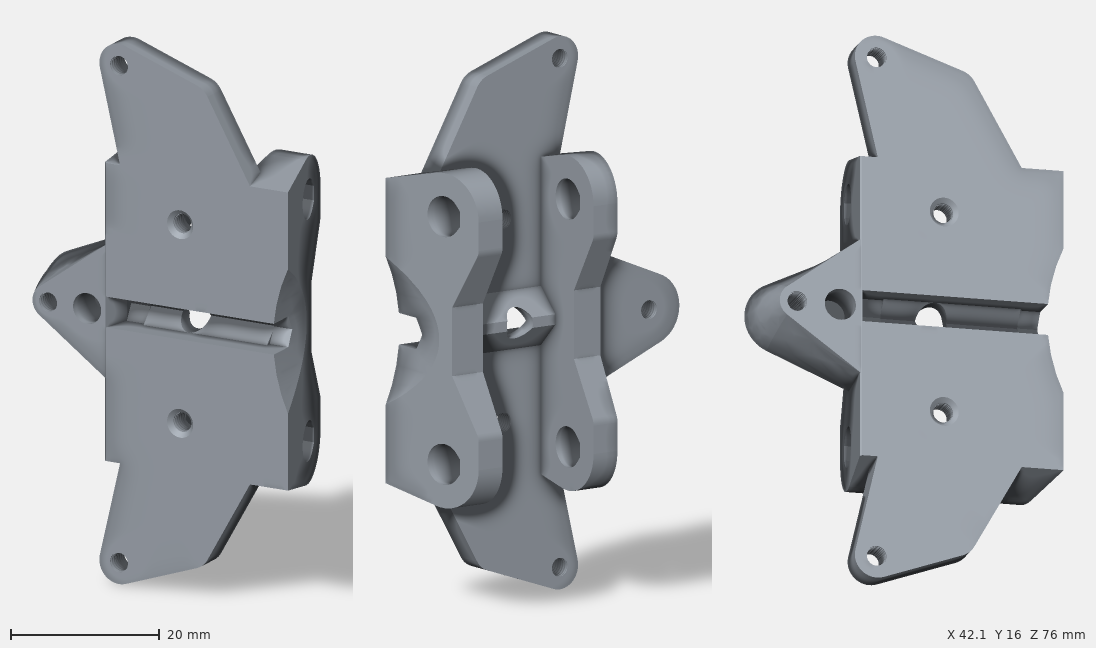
import cadquery as cq
import math


total_length = 76.0
plate_thickness = 3.8
ear_end_radius = 3.05
ear_hole_x = 2.3
ear_hole_z = total_length / 2 - ear_end_radius
ear_corner = (15.35, 33.6)
ear_corner_radius = 3.05
ear_root_left_x = 2.4
ear_root_right_x = 22.5

block_half_height = 21.0
block_length = 28.35
lug_top_y = 16.0
lug_left_lean = 1.45
lug_right_lean = 3.95
lug_radius = 6.0
lug_hole_z = 17.0
lug_hole_y = lug_top_y - lug_radius
lug_hole_diameter = 5.6
lug_hole_facet_angle = math.radians(40)
valley_y = 11.5
valley_half_height = 4.7
valley_slope = math.radians(30)
lug_corner_radius = 1.9
lug_gap_start = 5.4
lug_gap_end = 20.45
edge_chamfer = 0.265

ridge_y = 7.15
ridge_flat_half_width = 0.72

channel_width = 4.3
channel_start_low = 0.3
channel_start_high = 1.2
gable_start_x = 4.2
gable_end_x = 23.25
gable_eave_y = 3.35
gable_roof_slope = math.radians(45)
end_eave_y = 4.0
end_roof_slope = math.radians(30)
centre_hole_x = 11.25

thread_crest_diameter = 2.6
thread_root_diameter = 2.7
thread_pitch = 0.5

screw_x = 11.7
screw_z = 14.0
screw_sink_diameter = 4.0

notch_radius = 23.9
notch_bottom_x = 26.1

nose_x = -8.75
nose_front_y = 0.15
nose_back_y = 9.05
nose_front_radius = 2.4
nose_middle_radius = 3.95
nose_back_radius = 5.0
nose_root_x = 0.9
nose_front_root_half_height = 9.95
nose_back_root_half_height = 9.5
nose_pocket_x = -2.7
nose_pocket_diameter = 4.3
nose_pocket_depth = 6.1


def front_sketch(y=0.0):
    """XZ sketch at depth y; negative extrusions run towards +Y."""
    return cq.Workplane("XZ", origin=(0, y, 0))


def drill(x, z, diameter, start_y, depth):
    return front_sketch(start_y).center(x, z).circle(diameter / 2).extrude(-depth)


def threaded_hole(x, z, start_y, depth):
    """Bore with evenly spaced ring grooves, the first one open to the front."""
    hole = drill(x, z, thread_crest_diameter, start_y, depth)
    for number in range(math.ceil(depth / thread_pitch)):
        groove_y = start_y + number * thread_pitch
        hole = hole.union(drill(x, z, thread_root_diameter, groove_y, thread_pitch / 2))
    return hole


def tangent_point(outside, centre, radius, side):
    """Point where the line from `outside` touches the circle; side is +1 or -1."""
    away_x = outside[0] - centre[0]
    away_y = outside[1] - centre[1]
    angle = math.atan2(away_y, away_x) + side * math.acos(radius / math.hypot(away_x, away_y))
    return (centre[0] + radius * math.cos(angle), centre[1] + radius * math.sin(angle))


def both_sides(solid):
    return solid.union(solid.mirror("XY"))


def ear():
    centre = (ear_hole_x, ear_hole_z)
    root_left = (ear_root_left_x, block_half_height)
    left_touch = tangent_point(root_left, centre, ear_end_radius, -1)
    top_touch = tangent_point(ear_corner, centre, ear_end_radius, 1)
    round_angle = math.radians(135)
    end_middle = (
        ear_hole_x + ear_end_radius * math.cos(round_angle),
        ear_hole_z + ear_end_radius * math.sin(round_angle),
    )
    outline = (
        front_sketch()
        .moveTo(ear_root_left_x, 0)
        .lineTo(*root_left)
        .lineTo(*left_touch)
        .threePointArc(end_middle, top_touch)
        .lineTo(*ear_corner)
        .lineTo(ear_root_right_x, block_half_height)
        .lineTo(ear_root_right_x, 0)
        .close()
        .extrude(-plate_thickness)
    )
    corner = cq.selectors.NearestToPointSelector((ear_corner[0], plate_thickness / 2, ear_corner[1]))
    rounded = outline.edges(corner).fillet(ear_corner_radius)
    return rounded.cut(threaded_hole(*centre, 0, plate_thickness))


def lug_profile():
    """Upper half of the lug block seen along X, extruded beyond both ends."""
    centre = (lug_hole_y, lug_hole_z)
    bevel_touch = tangent_point((0, block_half_height), centre, lug_radius, -1)
    round_angle = math.radians(45)
    round_middle = (
        lug_hole_y + lug_radius * math.cos(round_angle),
        lug_hole_z + lug_radius * math.sin(round_angle),
    )
    slope_top_z = valley_half_height + (lug_top_y - valley_y) / math.tan(valley_slope)
    block = (
        cq.Workplane("YZ", origin=(-block_length, 0, 0))
        .moveTo(0, 0)
        .lineTo(0, block_half_height)
        .lineTo(*bevel_touch)
        .threePointArc(round_middle, (lug_top_y, lug_hole_z))
        .lineTo(lug_top_y, slope_top_z)
        .lineTo(valley_y, valley_half_height)
        .lineTo(valley_y, 0)
        .close()
        .extrude(3 * block_length)
    )
    corner = cq.selectors.NearestToPointSelector((block_length / 2, lug_top_y, slope_top_z))
    return block.edges(corner).fillet(lug_corner_radius)


def lug_bore(side):
    """Round bore whose back is a flat with two slanting facets, all touching its circle."""
    radius = lug_hole_diameter / 2
    touch_y = radius * math.cos(lug_hole_facet_angle)
    touch_z = radius * math.sin(lug_hole_facet_angle)
    flat_half_width = radius * math.tan(lug_hole_facet_angle / 2)
    return (
        cq.Workplane("YZ", origin=(0, lug_hole_y, side * lug_hole_z))
        .moveTo(touch_y, -touch_z)
        .lineTo(radius, -flat_half_width)
        .lineTo(radius, flat_half_width)
        .lineTo(touch_y, touch_z)
        .threePointArc((-radius, 0), (touch_y, -touch_z))
        .close()
        .extrude(block_length)
    )


def lug_block():
    side_limits = (
        cq.Workplane("XY", origin=(0, 0, -total_length / 2))
        .moveTo(edge_chamfer, 0)
        .lineTo(block_length, 0)
        .lineTo(block_length - lug_right_lean, lug_top_y)
        .lineTo(lug_left_lean, lug_top_y)
        .lineTo(0, edge_chamfer)
        .close()
        .extrude(total_length)
    )
    gap = cq.Workplane("XY").box(
        lug_gap_end - lug_gap_start, lug_top_y, total_length, centered=(False, False, True)
    ).translate((lug_gap_start, plate_thickness, 0))
    block = both_sides(lug_profile()).intersect(side_limits).cut(gap)
    for side in (1, -1):
        block = block.cut(lug_bore(side))
    return block


def ridge():
    """Bar with 45 degree flanks joining the lugs along the middle."""
    base_half_width = ridge_flat_half_width + ridge_y - plate_thickness
    return (
        cq.Workplane("YZ", origin=(lug_gap_start, 0, 0))
        .polyline([
            (0, -base_half_width),
            (plate_thickness, -base_half_width),
            (ridge_y, -ridge_flat_half_width),
            (ridge_y, ridge_flat_half_width),
            (plate_thickness, base_half_width),
            (0, base_half_width),
        ])
        .close()
        .extrude(lug_gap_end - lug_gap_start)
    )


def gabled_slot(start_x, end_x, eave_y, slope):
    half_width = channel_width / 2
    return (
        cq.Workplane("YZ", origin=(start_x, 0, 0))
        .polyline([
            (0, -half_width),
            (eave_y, -half_width),
            (eave_y + half_width * math.tan(slope), 0),
            (eave_y, half_width),
            (0, half_width),
        ])
        .close()
        .extrude(end_x - start_x)
    )


def channel():
    left_slot = gabled_slot(0, gable_start_x, end_eave_y, end_roof_slope)
    middle_slot = gabled_slot(gable_start_x, gable_end_x, gable_eave_y, gable_roof_slope)
    right_slot = gabled_slot(gable_end_x, block_length, end_eave_y, end_roof_slope)
    end_wall = (
        cq.Workplane("XY", origin=(0, 0, -channel_width))
        .moveTo(0, 0)
        .lineTo(channel_start_low, 0)
        .lineTo(channel_start_high, end_eave_y)
        .lineTo(channel_start_high, ridge_y)
        .lineTo(0, ridge_y)
        .close()
        .extrude(2 * channel_width)
    )
    return left_slot.cut(end_wall).union(middle_slot).union(right_slot)


def nose_section(y, radius, root_half_height):
    """Wedge from the root to a round end, as a wire at depth y."""
    root_top = (nose_root_x, root_half_height)
    touch_x, touch_z = tangent_point(root_top, (nose_x, 0), radius, 1)
    return (
        front_sketch(y)
        .moveTo(*root_top)
        .lineTo(touch_x, touch_z)
        .threePointArc((nose_x - radius, 0), (touch_x, -touch_z))
        .lineTo(nose_root_x, -root_half_height)
        .close()
        .wire()
        .val()
    )


def nose():
    middle_y = (nose_front_y + nose_back_y) / 2
    middle_root = (nose_front_root_half_height + nose_back_root_half_height) / 2
    sections = [
        nose_section(nose_front_y, nose_front_radius, nose_front_root_half_height),
        nose_section(middle_y, nose_middle_radius, middle_root),
        nose_section(nose_back_y, nose_back_radius, nose_back_root_half_height),
    ]
    return cq.Workplane(cq.Solid.makeLoft(sections))


def screw_hole(side):
    sink_depth = (screw_sink_diameter - thread_root_diameter) / 2
    sink = cq.Solid.makeCone(
        screw_sink_diameter / 2,
        thread_root_diameter / 2,
        sink_depth,
        cq.Vector(screw_x, 0, side * screw_z),
        cq.Vector(0, 1, 0),
    )
    thread = threaded_hole(screw_x, side * screw_z, sink_depth, plate_thickness - sink_depth)
    return thread.union(cq.Workplane(sink))


def right_edge_notch():
    return drill(notch_bottom_x + notch_radius, 0, 2 * notch_radius, 0, lug_top_y)


result = lug_block().union(ridge()).union(both_sides(ear())).cut(right_edge_notch())
result = result.union(nose()).cut(channel())
result = result.cut(drill(centre_hole_x, 0, channel_width, 0, lug_top_y))
result = result.cut(threaded_hole(nose_x, 0, nose_front_y, nose_back_y - nose_front_y))
result = result.cut(drill(nose_pocket_x, 0, nose_pocket_diameter, 0, nose_pocket_depth))
for side in (1, -1):
    result = result.cut(screw_hole(side))